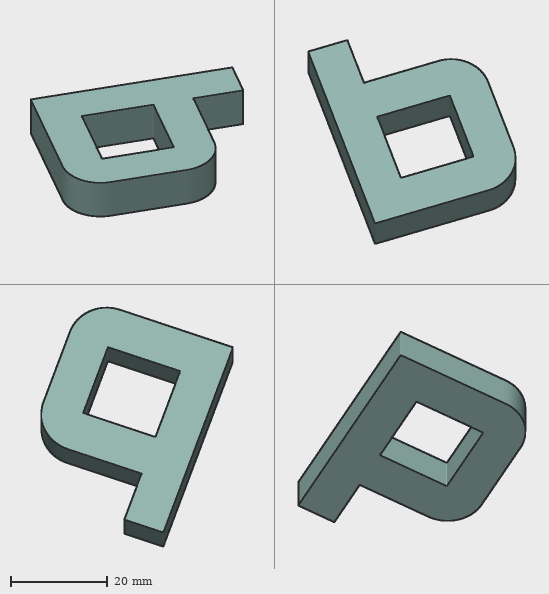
import cadquery as cq
import math

total_width = 33.1
total_length = 43.45
thickness = 8.6

bar_width = 8.6
foot_width = 8.65
bowl_length = 32.65

corner_reach = 8.5
corner_radius = 8.15
half_chord = corner_reach / math.sqrt(2)
half_angle = math.asin(half_chord / corner_radius)
corner_bulge = corner_radius * (1 - math.cos(half_angle - math.pi / 4))

edge_radius = 0.17

foot_y = corner_bulge
bowl_right = total_width - corner_bulge

window_width = total_width - 2 * bar_width
window_length = bowl_length - bar_width - foot_width


def make_stem():
    """Straight bar along the -X side, running the whole length."""
    length = total_length - foot_y
    stem = cq.Workplane("XY").box(bar_width, length, thickness, centered=False)
    return stem.translate((0, foot_y, 0))


def make_bowl():
    """Block with its two +X corners rounded by the large arcs."""
    return (
        cq.Workplane("XY")
        .moveTo(0, foot_y)
        .lineTo(bowl_right - corner_reach, foot_y)
        .radiusArc((bowl_right, foot_y + corner_reach), -corner_radius)
        .lineTo(bowl_right, bowl_length - corner_reach)
        .radiusArc((bowl_right - corner_reach, bowl_length), -corner_radius)
        .lineTo(0, bowl_length)
        .close()
        .extrude(thickness)
    )


def round_stem_edges(body):
    """Round the two vertical edges of the -X side and the remaining one at the stem's end."""
    body = body.faces("<X").edges("|Z").fillet(edge_radius)
    return body.faces(">Y").edges("|Z and >X").fillet(edge_radius)


def make_window():
    """Through opening with slightly rounded corners."""
    opening = cq.Workplane("XY").box(window_width, window_length, thickness, centered=False)
    opening = opening.edges("|Z").fillet(edge_radius)
    return opening.translate((bar_width, foot_width, 0))


body = round_stem_edges(make_stem().union(make_bowl()))
result = body.cut(make_window())